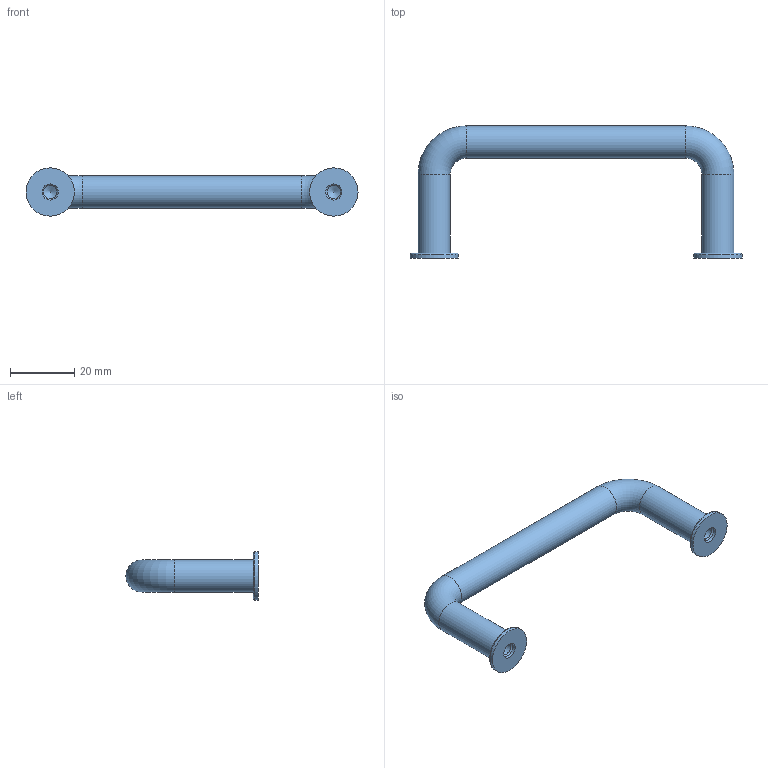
import cadquery as cq
import math

leg_spacing = 88.0
handle_height = 41.0
bar_diameter = 10.0
bend_radius = 10.0
flange_diameter = 15.0
flange_thickness = 1.5
flange_edge_radius = 0.5
hole_diameter = 4.13
hole_mouth_diameter = 5.0
mouth_depth = 1.0
hole_depth = 10.0
drill_point_angle = 120.0

half_spacing = leg_spacing / 2
bar_radius = bar_diameter / 2
grip_axis_y = handle_height - bar_radius
bend_start_y = grip_axis_y - bend_radius
bend_start_x = half_spacing - bend_radius
bend_mid_offset = bend_radius * math.sin(math.radians(45))
flange_radius = flange_diameter / 2
hole_radius = hole_diameter / 2
mouth_radius = hole_mouth_diameter / 2
mouth_taper_depth = mouth_radius - hole_radius
drill_point_depth = hole_radius / math.tan(math.radians(drill_point_angle / 2))


def make_bar():
    """Round bar swept along a U-shaped centreline in the XY plane."""
    centreline = (
        cq.Workplane("XY")
        .moveTo(-half_spacing, 0)
        .lineTo(-half_spacing, bend_start_y)
        .threePointArc(
            (-bend_start_x - bend_mid_offset, bend_start_y + bend_mid_offset),
            (-bend_start_x, grip_axis_y),
        )
        .lineTo(bend_start_x, grip_axis_y)
        .threePointArc(
            (bend_start_x + bend_mid_offset, bend_start_y + bend_mid_offset),
            (half_spacing, bend_start_y),
        )
        .lineTo(half_spacing, 0)
    )
    section = cq.Workplane("XZ").center(-half_spacing, 0).circle(bar_radius)
    return section.sweep(centreline)


def make_flange(leg_x):
    """Mounting disc with its edge rounded on the bar side."""
    disc = cq.Workplane("XZ").center(leg_x, 0).circle(flange_radius).extrude(-flange_thickness)
    return disc.faces(">Y").edges().fillet(flange_edge_radius)


def make_screw_hole(leg_x):
    """Blind hole with a wider mouth, tapering in, and a conical drill point."""
    profile = [
        (0, 0),
        (mouth_radius, 0),
        (mouth_radius, mouth_depth),
        (hole_radius, mouth_depth + mouth_taper_depth),
        (hole_radius, hole_depth),
        (0, hole_depth + drill_point_depth),
    ]
    hole = cq.Workplane("XY").polyline(profile).close().revolve(360, (0, 0), (0, 1))
    return hole.translate((leg_x, 0, 0))


result = make_bar()
for leg_x in (-half_spacing, half_spacing):
    result = result.union(make_flange(leg_x)).cut(make_screw_hole(leg_x))